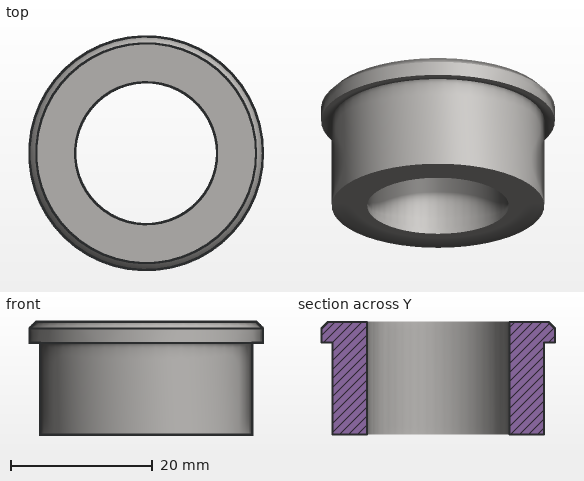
import cadquery as cq

flange_diameter = 33.0
body_diameter = 30.0
bore_diameter = 20.0
total_height = 16.0
flange_thickness = 3.0
rim_chamfer = 1.0

body_height = total_height - flange_thickness

body = cq.Workplane("XY").circle(body_diameter / 2).extrude(total_height)

flange = (
    cq.Workplane("XY")
    .workplane(offset=body_height)
    .circle(flange_diameter / 2)
    .extrude(flange_thickness)
    .faces(">Z")
    .edges()
    .chamfer(rim_chamfer)
)

bore = cq.Workplane("XY").circle(bore_diameter / 2).extrude(total_height)

result = body.union(flange).cut(bore)